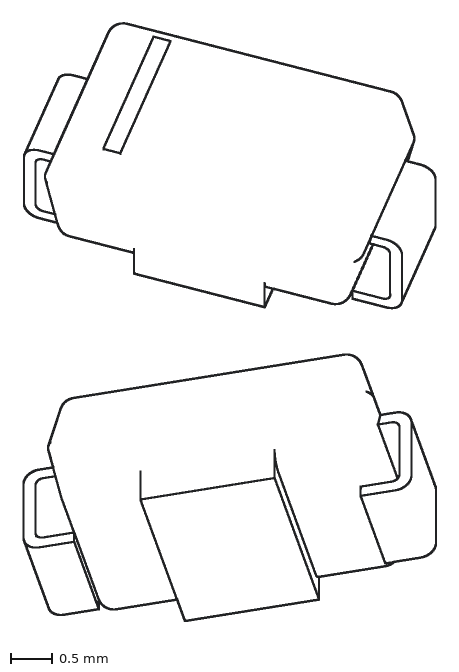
import cadquery as cq

overall_length = 4.83
overall_height = 1.97
body_width = 2.29

waist_length = 4.055
waist_height = 1.255
end_inset = 0.195
body_bottom = 0.305
edge_radius = 0.2

pedestal_length = 1.67
pedestal_bottom = 0.05

lead_width = 1.27
lead_thickness = 0.15
lead_outer_radius = 0.2
lead_inner_radius = 0.095
lead_reach = 0.635

band_start = -1.295
band_length = 0.215
band_depth = 0.025
band_width = body_width - 2 * edge_radius


def make_moulding():
    """Hexagonal prism with every edge rounded except the waist lines on its ends."""
    half_waist = waist_length / 2
    half_flat = half_waist - end_inset
    prism = (
        cq.Workplane("XZ")
        .polyline([
            (-half_flat, body_bottom),
            (half_flat, body_bottom),
            (half_waist, waist_height),
            (half_flat, overall_height),
            (-half_flat, overall_height),
            (-half_waist, waist_height),
        ])
        .close()
        .extrude(body_width / 2, both=True)
    )
    side_edges = prism.faces("<Y or >Y").edges()
    flat_edges = prism.faces("<Z or >Z").edges("|Y")
    return side_edges.add(flat_edges).fillet(edge_radius)


def make_pedestal():
    """Full-width block that rises to the waist, where it merges into the moulding."""
    return cq.Workplane("XY", origin=(0, 0, pedestal_bottom)).box(
        pedestal_length, body_width, waist_height - pedestal_bottom, centered=(True, True, False)
    )


def make_left_lead():
    """C-shaped strip, open toward the centre of the body."""
    outer_x = -overall_length / 2
    strip = (
        cq.Workplane("XY", origin=(outer_x, 0, 0))
        .box(lead_reach, lead_width, waist_height, centered=(False, True, False))
        .edges("<X and |Y")
        .fillet(lead_outer_radius)
    )
    opening = (
        cq.Workplane("XY", origin=(outer_x + lead_thickness, 0, lead_thickness))
        .box(
            lead_reach - lead_thickness,
            lead_width,
            waist_height - 2 * lead_thickness,
            centered=(False, True, False),
        )
        .edges("<X and |Y")
        .fillet(lead_inner_radius)
    )
    return strip.cut(opening)


def make_band():
    """Thin bar across the flat of the top face."""
    return cq.Workplane("XY", origin=(band_start, 0, overall_height - band_depth)).box(
        band_length, band_width, band_depth, centered=(False, True, False)
    )


left_lead = make_left_lead()
leads = [left_lead.rotate((0, 0, 0), (0, 0, 1), angle) for angle in (0, 180)]
band = make_band()

body = make_moulding().union(make_pedestal()).cut(band)
for lead in leads:
    body = body.cut(lead)

result = cq.Compound.makeCompound([body.val(), band.val(), *[lead.val() for lead in leads]])